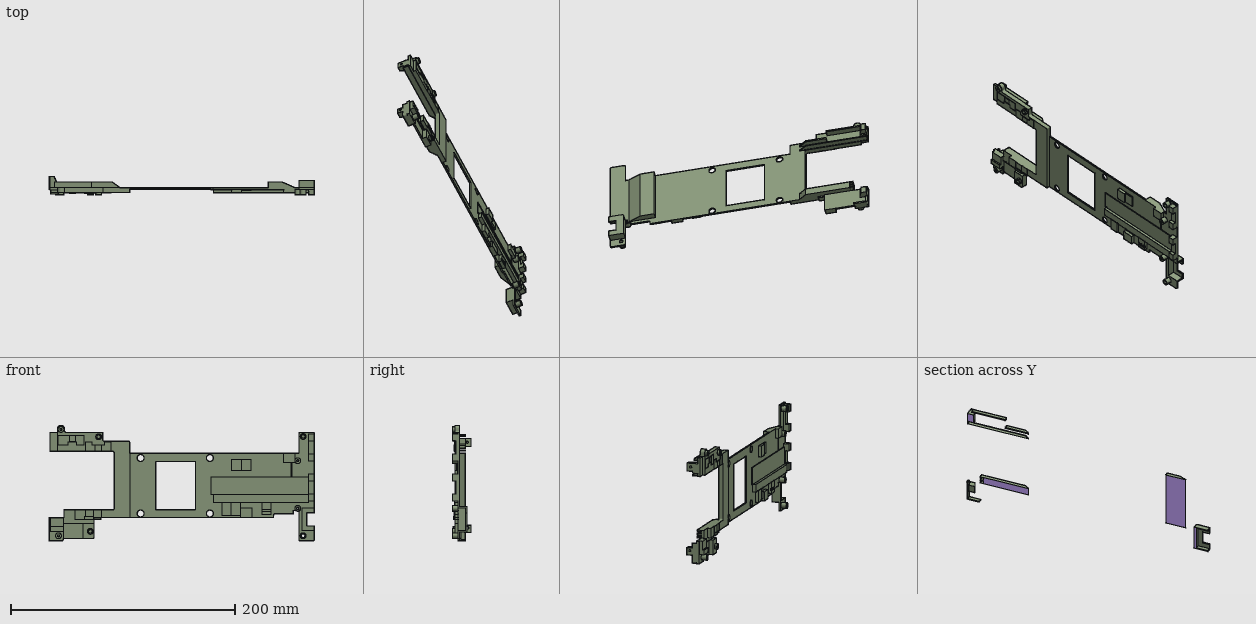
import cadquery as cq


LENGTH = 236.5
DEPTH = 16.5
HEIGHT = 103.05

POST_FRONT = 0.0
PAD_FRONT = 1.8
TAB_FRONT = 1.4
FRAME_FRONT = 2.1
PLATE_FRONT = 5.0
PLATE_BACK = 6.4
FLANGE_BACK = 7.4
RIB_BACK = 11.5
FOOT_FRONT = 4.9
CORNER_RADIUS = 1.2

SPINE_X = (58.0, 71.95)
PLATE_Z = (20.7, 78.3)
ARM_TOP = 96.8
SPINE_TOP = 88.9
UPPER_ARM_BOTTOM = 79.7
LOWER_ARM_TOP = 27.8
WING_LEFT = 222.6
UPPER_END_LEFT = 0.8
UPPER_ARM_LEFT = 7.6
EAR_ROOT_RIGHT = 6.8
UPPER_ARM_RIGHT = 48.0
SLOPE_X = (56.4, 63.4)
FOOT_RIGHT = 12.7
LOWER_PAD_LEFT = 23.2
FLANGE_RIGHT = 40.2
FLANGE_BOTTOM = 2.1

POST_RADIUS = 2.6
POST_BORE_RADIUS = 1.6
PIN_BORE_RADIUS = 0.9
LUG_CENTRE = (10.6, 99.85)
LOWER_PIN = (221.6, 29.0)
LOWER_WING_POST = (226.4, 4.6)
LUG_RADIUS = HEIGHT - LUG_CENTRE[1]


def block(x_span, y_span, z_span):
    """Rectangular block filling three spans."""
    size = [high - low for low, high in (x_span, y_span, z_span)]
    corner = (x_span[0], y_span[0], z_span[0])
    return cq.Workplane("XY").box(*size, centered=False).translate(corner)


def slab(outline, y_span):
    """Outline of (X, Z) points extruded across a depth span."""
    plane = cq.Workplane("XZ", origin=(0, y_span[0], 0))
    return plane.polyline(outline).close().extrude(y_span[0] - y_span[1])


def wall(outline, z_span):
    """Outline of (X, Y) points extruded across a height span."""
    plane = cq.Workplane("XY", origin=(0, 0, z_span[0]))
    return plane.polyline(outline).close().extrude(z_span[1] - z_span[0])


def cylinder(centre, radius, y_span):
    """Cylinder along Y at an (X, Z) centre."""
    plane = cq.Workplane("XZ", origin=(centre[0], y_span[0], centre[1]))
    return plane.circle(radius).extrude(y_span[0] - y_span[1])


def post(centre, back, bore_radius):
    """Hollow post standing forward from a face at the depth `back`."""
    span = (POST_FRONT, back)
    return cylinder(centre, POST_RADIUS, span).cut(cylinder(centre, bore_radius, span))


def round_corners(body, corners, radius=CORNER_RADIUS):
    """Round the Y-direction edges found at the given (X, Z) corners."""
    for x, z in corners:
        near = 0.1
        box = cq.selectors.BoxSelector((x - near, -DEPTH, z - near), (x + near, DEPTH, z + near), True)
        body = body.edges("|Y").edges(box).fillet(radius)
    return body


def join(bodies):
    total = bodies[0]
    for body in bodies[1:]:
        total = total.union(body)
    return total


def plate():
    bottom = PLATE_Z[0]
    top = PLATE_Z[1]
    notch_left = 200.2
    notch_top = 24.2
    step_x = 217.7
    step_top = 27.0
    side_notch_left = 229.7
    side_notch_bottom = 13.5
    side_notch_top = 24.9
    outline = [
        (SPINE_X[1] - 1, bottom), (notch_left, bottom), (notch_left, notch_top), (step_x, notch_top),
        (step_x, step_top), (WING_LEFT, step_top), (WING_LEFT, 0), (LENGTH, 0),
        (LENGTH, side_notch_bottom), (side_notch_left, side_notch_bottom),
        (side_notch_left, side_notch_top), (LENGTH, side_notch_top),
        (LENGTH, ARM_TOP), (WING_LEFT, ARM_TOP), (WING_LEFT, top), (SPINE_X[1] - 1, top),
    ]
    body = slab(outline, (PLATE_FRONT, PLATE_BACK))
    body = round_corners(body, [
        (notch_left, notch_top), (WING_LEFT, 0), (LENGTH, 0), (LENGTH, side_notch_bottom),
        (LENGTH, side_notch_top), (LENGTH, ARM_TOP), (WING_LEFT, ARM_TOP),
    ])

    box_back = 13.0
    floor_front = 11.5
    box_z = (7.8, 30.7)
    pocket_left = 225.5
    pocket_z = (9.3, 29.2)
    box = block((WING_LEFT, LENGTH), (PLATE_FRONT, box_back), box_z)
    box_radius = 1.7
    body = body.union(round_corners(box, [(WING_LEFT, box_z[1])], box_radius))
    body = body.cut(block((pocket_left, LENGTH), (PLATE_FRONT, floor_front), pocket_z))
    side_notch_z = (side_notch_bottom, side_notch_top)
    body = body.cut(block((side_notch_left, LENGTH), (PLATE_FRONT, box_back), side_notch_z))

    wedge_left = 195.2
    slope_start = 207.8
    slope_end = 219.4
    wedge = [
        (wedge_left, PLATE_FRONT), (wedge_left, RIB_BACK), (slope_start, RIB_BACK),
        (slope_end, PLATE_BACK), (slope_end, PLATE_FRONT),
    ]
    return body.union(wall(wedge, (step_top, top)))


def plate_openings():
    window = block((95.3, 130.4), (0, DEPTH), (27.8, 70.6))
    hole_radius = 3.0
    holes = [cylinder((x, z), hole_radius, (0, DEPTH)) for x in (81.6, 143.3) for z in (24.4, 73.9)]
    return join([window] + holes)


def plate_blocks():
    strip_right = 231.2
    bar_front = 1.7
    bar_z = (34.1, 41.2)
    strip_z = (bar_z[1], 56.9)
    boxes = [
        ((144.2, strip_right), 4.3, strip_z),
        ((146.4, strip_right), bar_front, bar_z),
        ((162.7, 171.4), 2.3, (62.6, 72.7)),
        ((171.4, 180.1), 3.7, (62.6, 72.7)),
        ((154.3, 162.2), 2.1, (22.8, bar_z[0])),
        ((162.2, 170.7), 3.7, (22.8, bar_z[0])),
        ((170.7, 180.9), 2.2, (PLATE_Z[0], 29.2)),
        ((209.1, 219.0), 2.2, (69.7, PLATE_Z[1])),
        ((215.5, 216.5), 4.5, (strip_z[1], 69.7)),
    ]
    bodies = [block(x_span, (front, PLATE_BACK), z_span) for x_span, front, z_span in boxes]

    grooved_x = (189.9, 197.8)
    grooved_front = 2.0
    groove_depth = 1.0
    grooved = block(grooved_x, (grooved_front, PLATE_BACK), (23.4, bar_z[0]))
    groove = block(grooved_x, (grooved_front, grooved_front + groove_depth), (26.2, 27.8))
    return join(bodies + [grooved.cut(groove)])


def edge_connectors():
    connector_left = 231.2
    end_height = 6.45
    body_front = 3.1
    bodies = []
    for z_span in ((71.1, 95.5), (35.5, 59.8)):
        x_span = (connector_left, LENGTH)
        bodies.append(block(x_span, (body_front, PLATE_BACK), z_span))
        for end_bottom in (z_span[0], z_span[1] - end_height):
            bodies.append(block(x_span, (POST_FRONT, PLATE_BACK), (end_bottom, end_bottom + end_height)))
    return join(bodies)


def fork():
    outline = [
        (LOWER_PAD_LEFT, PLATE_Z[0]), (SPINE_X[1], PLATE_Z[0]), (SPINE_X[1], SPINE_TOP),
        (UPPER_ARM_RIGHT, SPINE_TOP), (UPPER_ARM_RIGHT, ARM_TOP), (UPPER_ARM_LEFT, ARM_TOP),
        (UPPER_ARM_LEFT, UPPER_ARM_BOTTOM), (SPINE_X[0], UPPER_ARM_BOTTOM),
        (SPINE_X[0], LOWER_ARM_TOP), (LOWER_PAD_LEFT, LOWER_ARM_TOP),
    ]
    body = slab(outline, (FRAME_FRONT, PLATE_BACK))
    lug_x = (LUG_CENTRE[0] - LUG_RADIUS, LUG_CENTRE[0] + LUG_RADIUS)
    body = body.union(block(lug_x, (FRAME_FRONT, PLATE_BACK), (ARM_TOP, LUG_CENTRE[1])))
    body = round_corners(body, [
        (SPINE_X[1], SPINE_TOP), (SPINE_X[0], UPPER_ARM_BOTTOM), (SPINE_X[0], LOWER_ARM_TOP),
        (UPPER_ARM_RIGHT, SPINE_TOP), (lug_x[1], ARM_TOP),
    ])
    lug = cylinder(LUG_CENTRE, LUG_RADIUS, (FRAME_FRONT, PLATE_BACK))
    end_tab = block((UPPER_END_LEFT, UPPER_ARM_LEFT), (4.2, PLATE_BACK), (UPPER_ARM_BOTTOM, ARM_TOP))

    fin_left = 5.0
    fin_break = 37.9
    slope = [(SLOPE_X[0], RIB_BACK), (SLOPE_X[1], PLATE_BACK), (SLOPE_X[1], FOOT_FRONT)]
    long_fin = [(UPPER_END_LEFT, FOOT_FRONT), (UPPER_END_LEFT, RIB_BACK)] + slope
    short_fin = [(fin_break, FOOT_FRONT), (fin_break, RIB_BACK)] + slope
    fins = [
        block((fin_left, fin_break), (FOOT_FRONT, RIB_BACK), (93.2, 94.7)),
        wall(short_fin, (85.0, 86.5)),
        wall(long_fin, (80.0, 80.9)),
    ]
    return join([body, lug, end_tab] + fins)


def upper_arm_pads():
    pad_span = (PAD_FRONT, PLATE_BACK)
    notch_span = (PAD_FRONT, FRAME_FRONT)
    tab_span = (TAB_FRONT, PLATE_BACK)
    notch_z = (85.4, 88.3)
    left_pad = block((8.2, 31.2), pad_span, (notch_z[0], 93.9)).cut(block((16.7, 24.5), notch_span, notch_z))
    left_tab = block((18.1, 23.7), tab_span, (88.8, 93.9))
    right_pad = block((32.4, 55.0), pad_span, (UPPER_ARM_BOTTOM, notch_z[1]))
    right_pad = right_pad.cut(block((38.2, 49.5), notch_span, notch_z))
    right_tab = block((41.0, 46.7), tab_span, (80.3, notch_z[0]))
    return join([left_pad, left_tab, right_pad, right_tab])


def lower_arm():
    arm_left = 13.2
    outline = [
        (arm_left, FOOT_FRONT), (arm_left, RIB_BACK), (SLOPE_X[0], RIB_BACK),
        (SLOPE_X[1], PLATE_BACK), (SLOPE_X[1], FOOT_FRONT),
    ]
    body = wall(outline, (PLATE_Z[0], LOWER_ARM_TOP))

    slot_depth = 3.0
    slot_front = 7.4
    for slot_z in ((24.8, 26.7), (21.7, 23.4)):
        slot_x = (arm_left, arm_left + slot_depth)
        body = body.cut(block(slot_x, (slot_front, RIB_BACK), slot_z))

    web_front = 5.9
    band_bottom = 15.5
    end_left = 30.4
    band = block((FOOT_RIGHT, FLANGE_RIGHT), (FOOT_FRONT, FLANGE_BACK), (band_bottom, PLATE_Z[0]))
    web = block((FOOT_RIGHT, FLANGE_RIGHT), (web_front, FLANGE_BACK), (FLANGE_BOTTOM, band_bottom))
    end = block((end_left, FLANGE_RIGHT), (FRAME_FRONT, FLANGE_BACK), (FLANGE_BOTTOM, band_bottom))
    flange = round_corners(join([band, web, end]), [(FLANGE_RIGHT, FLANGE_BOTTOM)])

    pad_bottom = 19.1
    latch_top = 21.6
    latch_front = 1.0
    tab_right = 39.6
    pad = block((LOWER_PAD_LEFT, 46.7), (PAD_FRONT, PLATE_BACK), (PLATE_Z[0], LOWER_ARM_TOP))
    pad_skirt = block((LOWER_PAD_LEFT, FLANGE_RIGHT), (PAD_FRONT, PLATE_BACK), (pad_bottom, PLATE_Z[0]))
    lip = block((FLANGE_RIGHT, 46.1), (FRAME_FRONT, PLATE_BACK), (pad_bottom, PLATE_Z[0]))
    tab = block((32.4, tab_right), (TAB_FRONT, PLATE_BACK), (latch_top, LOWER_ARM_TOP))
    latch = block((31.8, tab_right), (latch_front, PLATE_BACK), (pad_bottom, latch_top))
    return join([body, flange, pad, pad_skirt, lip, tab, latch])


def lower_foot():
    shell = 1.5
    top = PLATE_Z[0]
    front = block((0, FOOT_RIGHT), (FOOT_FRONT, FLANGE_BACK), (0, top))
    front = round_corners(front, [(FOOT_RIGHT, 0)])

    left_wall_top = 18.6
    rear_span = (FLANGE_BACK, RIB_BACK)
    left_wall = block((0, shell), rear_span, (0, left_wall_top))
    bottom_wall = block((0, FOOT_RIGHT), rear_span, (0, shell))
    rear_radius = 1.4
    rear = round_corners(left_wall.union(bottom_wall), [(0, 0), (FOOT_RIGHT, 0)], rear_radius)

    stop_x = (shell, FOOT_RIGHT)
    ledge_z = 12.7
    upper_stop = block(stop_x, (FRAME_FRONT, FOOT_FRONT), (ledge_z, top))
    lower_stop = block(stop_x, (0.6, FOOT_FRONT), (8.4, ledge_z))
    return join([front, rear, upper_stop, lower_stop])


def ear(left, root_front, z_span, hole_centre):
    tip_right = 4.6
    root_right = EAR_ROOT_RIGHT
    hole_radius = 0.9
    outline = [
        (left, root_front), (left, DEPTH), (tip_right, DEPTH),
        (root_right, RIB_BACK), (root_right, root_front),
    ]
    hole = cq.Workplane("YZ").center(*hole_centre).circle(hole_radius).extrude(root_right + 1)
    return wall(outline, z_span).cut(hole)


def ears():
    upper_z = (84.0, 91.3)
    upper = ear(UPPER_END_LEFT, PLATE_FRONT, upper_z, (13.1, 88.0))
    upper_root = block((UPPER_END_LEFT, EAR_ROOT_RIGHT), (PLATE_FRONT, RIB_BACK), (82.5, upper_z[0]))
    lower = ear(0, RIB_BACK - 1, (7.5, 14.1), (13.6, 11.6))
    return join([upper, upper_root, lower])


def posts():
    left_posts = [
        post((LUG_CENTRE[0], 99.35), FRAME_FRONT, PIN_BORE_RADIUS),
        post((44.2, 92.8), FRAME_FRONT, POST_BORE_RADIUS),
        post((36.8, 8.5), FRAME_FRONT, POST_BORE_RADIUS),
        post((8.4, 4.6), FOOT_FRONT, PIN_BORE_RADIUS),
    ]
    right_posts = [
        post((226.4, 93.1), PLATE_FRONT, POST_BORE_RADIUS),
        post((221.6, 71.5), PLATE_FRONT, PIN_BORE_RADIUS),
        post(LOWER_PIN, PLATE_FRONT, PIN_BORE_RADIUS),
        post(LOWER_WING_POST, PLATE_FRONT, POST_BORE_RADIUS),
    ]
    return join(left_posts + right_posts)


def through_bores():
    lower_post = cylinder(LOWER_WING_POST, POST_BORE_RADIUS, (0, PLATE_BACK))
    pin = cylinder(LOWER_PIN, PIN_BORE_RADIUS, (0, PLATE_BACK))
    return lower_post.union(pin)


result = plate().cut(plate_openings())
for feature in (
    plate_blocks(), edge_connectors(), fork(), upper_arm_pads(),
    lower_arm(), lower_foot(), ears(), posts(),
):
    result = result.union(feature)
result = result.cut(through_bores())